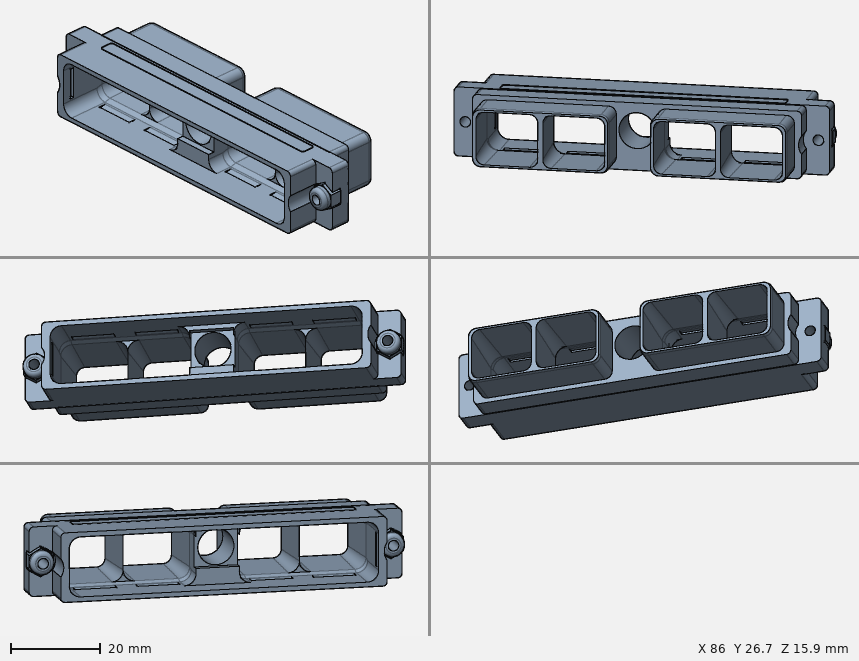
import cadquery as cq
import math


total_length = 86.0
body_width = 75.0
body_height = 15.9
rear_body_height = 15.6
body_radius = 1.0
flange_front = 7.8
flange_back = 12.8
rear_body_back = 18.0
shroud_back = 26.7

nut_apothem = 2.75
nut_radius = nut_apothem / math.cos(math.radians(30))
nut_x = total_length / 2 - nut_apothem
nut_front = 7.2
collar_front = 5.25
collar_radius = 2.75
collar_fillet = 1.0
screw_hole_radius = 1.2
nut_pocket_radius = 3.5
nut_pocket_back = 10.3
groove_radius = 3.4
nut_overhang = 0.2
flange_length = total_length - 2 * nut_overhang

cavity_width = 71.0
cavity_height = 13.7
cavity_radius = 2.6
key_width = 10.0
key_front = 5.9
bay_width = (cavity_width - key_width) / 2
bay_x = (cavity_width + key_width) / 4
step_front = 10.3
step_back = 11.9
step_height = 12.8
cell_x = bay_width / 4
cell_width = bay_width / 2
window_width = 14.1
window_height = 12.1
window_radius = 1.9

shroud_width = 31.1
shroud_gap = 9.5
shroud_x = (shroud_gap + shroud_width) / 2
shroud_height = 13.4
shroud_radius = 1.8
shroud_lip = 0.8
shroud_lip_inset = 0.2

notch_back = 7.6
notch_height = 8.8
notch_z = 1.4
centre_hole_radius = 4.1

latch_width = 9.6
latch_offset = 7.2
latch_front = 7.9
latch_length = 1.8
latch_depth = 0.4

end_slot_height = 7.6
end_slot_front = 2.1
end_slot_length = 1.0
end_slot_depth = 0.9

label_length = 65.2
label_front = 8.5
label_width = 3.5
label_radius = 0.7
label_depth = 0.2


def rounded(width, height, radius):
    return cq.Sketch().rect(width, height).vertices().fillet(radius)


def block(width, height, radius, front, back, x=0):
    """Round-cornered bar running along Y."""
    plane = cq.Workplane("XZ", origin=(x, front, 0))
    return plane.placeSketch(rounded(width, height, radius)).extrude(front - back)


def taper(front_size, back_size, front, back, x):
    """Bar whose round-cornered section changes evenly from front to back."""
    shift = cq.Location(cq.Vector(0, 0, front - back))
    plane = cq.Workplane("XZ", origin=(x, front, 0))
    return plane.placeSketch(rounded(*front_size), rounded(*back_size).moved(shift)).loft()


def cylinder(radius, front, back, x=0, z=0):
    return cq.Workplane("XZ", origin=(x, front, z)).circle(radius).extrude(front - back)


def hexagon(radius, front, back, x):
    """Hexagonal bar along Y with corners at the top and bottom."""
    plane = cq.Workplane("XZ", origin=(x, front, 0)).transformed(rotate=(0, 0, 90))
    return plane.polygon(6, 2 * radius).extrude(front - back)


def shroud(x):
    lip_front = shroud_back - shroud_lip
    size = (shroud_width, shroud_height, shroud_radius)
    lip_size = (shroud_width - 2 * shroud_lip_inset, shroud_height - 2 * shroud_lip_inset, shroud_radius)
    wall = block(*size, step_back, lip_front, x)
    return wall.union(taper(size, lip_size, lip_front, shroud_back, x))


def bay(x):
    """Cavity on one side of the key, splitting into two cells that narrow to the rear windows."""
    bay_size = (bay_width, cavity_height, cavity_radius)
    step_size = (bay_width, step_height, cavity_radius)
    cell_size = (cell_width, step_height, cavity_radius)
    window_size = (window_width, window_height, window_radius)
    opening = block(*bay_size, key_front, step_front, x)
    opening = opening.union(taper(bay_size, step_size, step_front, step_back, x))
    for side in (-1, 1):
        centre = x + side * cell_x
        cell = taper(cell_size, window_size, step_back, shroud_back, centre)
        opening = opening.union(cell)
    return opening


def latch_pocket():
    """Wedge cut outward into the roof of the cavity."""
    wall = cavity_height / 2
    profile = [
        (latch_front, wall),
        (latch_front, wall + latch_depth),
        (latch_front + latch_length, wall),
    ]
    return cq.Workplane("YZ").polyline(profile).close().extrude(latch_width / 2, both=True)


result = block(body_width, body_height, body_radius, 0, flange_back)
result = result.union(block(flange_length, body_height, body_radius, flange_front, flange_back))
result = result.union(block(body_width, rear_body_height, body_radius, flange_back, rear_body_back))
for side in (-1, 1):
    result = result.union(shroud(side * shroud_x))

result = result.cut(block(cavity_width, cavity_height, cavity_radius, 0, key_front))
for side in (-1, 1):
    result = result.cut(bay(side * bay_x))

notch_depth = notch_back - key_front
notch = cq.Workplane("XY").box(key_width, notch_depth, notch_height, centered=(True, False, True))
result = result.cut(notch.translate((0, key_front, notch_z)))
result = result.cut(cylinder(centre_hole_radius, key_front, rear_body_back, z=notch_z))

for turn in (0, 180):
    pocket = latch_pocket().rotate((0, 0, 0), (0, 1, 0), turn)
    for side in (-1, 1):
        for offset in (-latch_offset, latch_offset):
            result = result.cut(pocket.translate((side * bay_x + offset, 0, 0)))

end_slot_span = cavity_width + 2 * end_slot_depth
end_slot_size = (end_slot_span, end_slot_length, end_slot_height)
end_slots = cq.Workplane("XY").box(*end_slot_size, centered=(True, False, True))
result = result.cut(end_slots.translate((0, end_slot_front, 0)))

for x in (-nut_x, nut_x):
    result = result.cut(cylinder(groove_radius, 0, flange_front, x))
    result = result.cut(cylinder(groove_radius, flange_back, rear_body_back, x))
    result = result.cut(hexagon(nut_pocket_radius, flange_front, nut_pocket_back, x))
    collar = cylinder(collar_radius, collar_front, nut_front, x).faces("<Y").edges().fillet(collar_fillet)
    result = result.union(hexagon(nut_radius, nut_front, nut_pocket_back, x)).union(collar)
    result = result.cut(cylinder(screw_hole_radius, collar_front, flange_back, x))

label_y = label_front + label_width / 2
label_plane = cq.Workplane("XY", origin=(0, label_y, body_height / 2))
label_outline = rounded(label_length, label_width, label_radius)
result = result.cut(label_plane.placeSketch(label_outline).extrude(-label_depth))